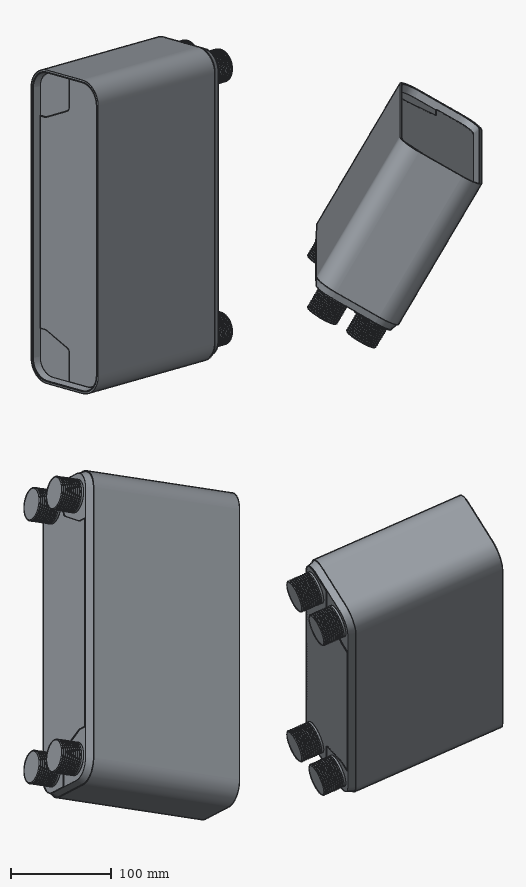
import cadquery as cq
import math

width = 94.0
height = 324.0
corner_radius = 22.5
shell_length = 164.3

lip_width = 2.0
mouth_chamfer_width = 1.0
mouth_chamfer_depth = 0.3
recess_depth = 8.0
floor_inset = 5.0

nose_inset = 1.0
nose_end_inset = 3.5
nose_length = 7.5

step_height = 1.0
step_bevel = 0.5

pad_edge_x = -0.5
pad_slope_start_x = -33.7
pad_slope_start_z = 109.5
pad_slope_end_z = 123.5
pad_bend_radius = 6.5
rear_pad_margin = 2.0

port_x = 22.7
port_z = 135.8
port_diameter = 33.7
port_length = 24.3
port_tip_chamfer = 1.0
thread_pitch = 2.33
thread_depth = 0.5
thread_count = 9

pick_margin = 3.2

pad_rear_y = shell_length + nose_length
main_rear_y = pad_rear_y + step_height


def rounded_block(inset, start_y, length, end_inset):
    """Block growing along +Y whose outline shrinks from one inset of the housing to another."""
    taper = math.degrees(math.atan2(end_inset - inset, length))
    return (
        cq.Workplane("XZ", origin=(0, start_y, 0))
        .sketch()
        .rect(width - 2 * inset, height - 2 * inset)
        .vertices()
        .fillet(corner_radius - inset)
        .finalize()
        .extrude(-length, taper=taper)
    )


def corner_pad(side, start_y, bevel, margin):
    """Step-high block over the -X corner at the top (side = 1) or the bottom (side = -1)."""
    edge_x = pad_edge_x + margin
    slope_x = pad_slope_start_x + margin
    slope_low_z = side * (pad_slope_start_z - margin)
    slope_high_z = side * (pad_slope_end_z - margin)
    outline = [
        (-width, slope_low_z),
        (slope_x, slope_low_z),
        (edge_x, slope_high_z),
        (edge_x, side * height),
        (-width, side * height),
    ]
    taper = math.degrees(math.atan2(bevel, step_height))
    block = cq.Workplane("XZ", origin=(0, start_y, 0)).polyline(outline).close()
    block = block.extrude(-step_height, taper=taper)
    slope_ends = cq.selectors.BoxSelector(
        (slope_x - pick_margin, start_y - pick_margin, slope_low_z - side * pick_margin),
        (edge_x + pick_margin, start_y + step_height + pick_margin, slope_high_z + side * pick_margin),
    )
    return block.edges("not #Y").edges(slope_ends).fillet(pad_bend_radius)


def stepped_face(inset, start_y, bevel, margin):
    """Thin layer that covers the main face but not its two corner pads, widest at its +Y side."""
    layer = rounded_block(inset + bevel, start_y, step_height, inset)
    for side in (1, -1):
        layer = layer.cut(corner_pad(side, start_y, bevel, margin))
    return layer


def make_housing():
    shell = rounded_block(0, 0, shell_length, 0)
    nose = rounded_block(nose_inset, shell_length, nose_length, nose_end_inset)
    rear_face = stepped_face(nose_end_inset, pad_rear_y, 0, rear_pad_margin)
    wall_inset = lip_width + mouth_chamfer_width
    wall_length = recess_depth - mouth_chamfer_depth
    mouth = rounded_block(lip_width, 0, mouth_chamfer_depth, wall_inset)
    wall = rounded_block(wall_inset, mouth_chamfer_depth, wall_length, floor_inset)
    front_face = stepped_face(floor_inset, recess_depth - step_height, step_bevel, 0)
    return shell.union(nose).union(rear_face).cut(mouth).cut(wall).union(front_face)


def make_port(x, z, seat_y):
    """Port with shallow V-shaped thread rings and a chamfered tip, standing on the rear face."""
    crest = port_diameter / 2
    root = crest - thread_depth
    profile = cq.Workplane("XY").moveTo(0, 0).lineTo(crest, 0)
    thread_start = port_length - port_tip_chamfer - thread_count * thread_pitch
    for ring in range(thread_count):
        ring_y = thread_start + ring * thread_pitch
        profile = profile.lineTo(crest, ring_y).lineTo(root, ring_y + thread_pitch / 2)
    profile = (
        profile.lineTo(crest, port_length - port_tip_chamfer)
        .lineTo(crest - port_tip_chamfer, port_length)
        .lineTo(0, port_length)
        .close()
    )
    return profile.revolve(360, (0, 0, 0), (0, 1, 0)).translate((x, seat_y, z))


housing = make_housing()
ports = []
for z in (port_z, -port_z):
    ports.append(make_port(-port_x, z, pad_rear_y))
    ports.append(make_port(port_x, z, main_rear_y))

result = cq.Compound.makeCompound([housing.val(), *[port.val() for port in ports]])